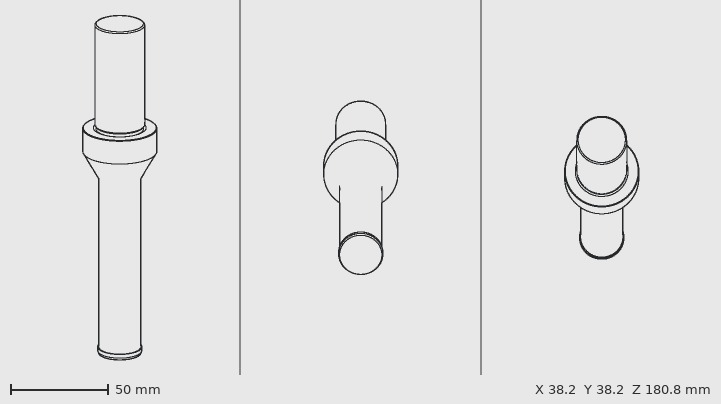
import cadquery as cq

total_length = 180.8
tip_top = 4.0
cone_bottom = 96.4
collar_bottom = 111.0
collar_top = 123.9
shank_bottom = 125.0

outer_diameter = 38.2
shank_radius = 12.8
neck_radius = 12.3
collar_radius = outer_diameter / 2
stem_radius = 10.9
tip_radius = 11.4

shank_chamfer = 0.7
collar_chamfer = 0.4
blend_length = 1.3
tip_wall_bottom = 2.0
tip_rim_radius = 10.9
tip_rim_level = 0.7
tip_face_radius = 7.2
relief_radius = 13.5
relief_depth = 0.5
relief_ramp = 0.7


def make_holder():
    """Shank, relief neck, collar, cone and stem turned as one piece."""
    blend_top = cone_bottom + blend_length / 2
    blend_bottom = cone_bottom - blend_length / 2
    cone_slope = (collar_radius - stem_radius) / (collar_bottom - cone_bottom)
    blend_radius_top = stem_radius + cone_slope * blend_length / 2
    profile = (
        cq.Workplane("XZ")
        .moveTo(0, tip_top)
        .lineTo(stem_radius, tip_top)
        .lineTo(stem_radius, blend_bottom)
        .tangentArcPoint((blend_radius_top, blend_top), relative=False)
        .lineTo(collar_radius, collar_bottom)
        .lineTo(collar_radius, collar_top - collar_chamfer)
        .lineTo(collar_radius - collar_chamfer, collar_top)
        .lineTo(relief_radius, collar_top)
        .lineTo(neck_radius, collar_top - relief_depth)
        .lineTo(neck_radius, shank_bottom)
        .lineTo(shank_radius, shank_bottom + relief_ramp)
        .lineTo(shank_radius, total_length - shank_chamfer)
        .lineTo(shank_radius - shank_chamfer, total_length)
        .lineTo(0, total_length)
        .close()
    )
    return profile.revolve(360, (0, 0, 0), (0, 1, 0))


def make_tip():
    """Slightly wider cutting tip on the end of the stem, beveled in two steps at its end."""
    profile = (
        cq.Workplane("XZ")
        .lineTo(tip_face_radius, 0)
        .lineTo(tip_rim_radius, tip_rim_level)
        .lineTo(tip_radius, tip_wall_bottom)
        .lineTo(tip_radius, tip_top)
        .lineTo(0, tip_top)
        .close()
    )
    return profile.revolve(360, (0, 0, 0), (0, 1, 0))


holder = make_holder()
tip = make_tip()

result = cq.Compound.makeCompound([holder.val(), tip.val()])